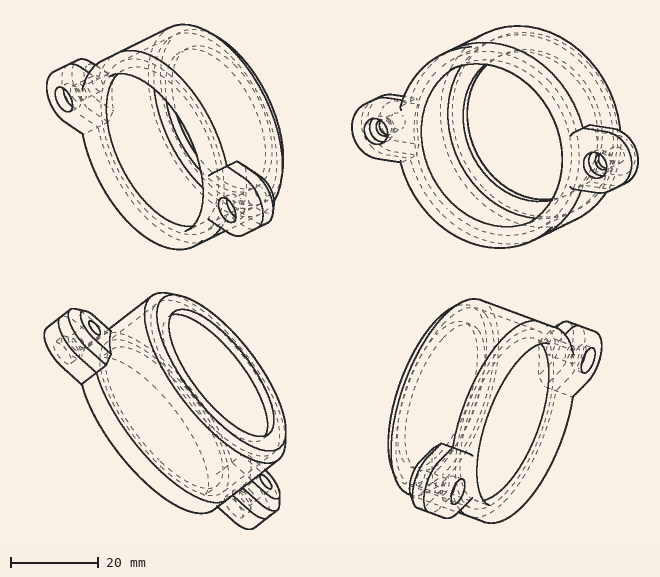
import cadquery as cq

overall_length = 70.7
overall_depth = 22.8
outer_diameter = 47.2
bore_diameter = 39.2
cavity_diameter = 43.2
opening_diameter = 35.2
floor_thickness = 2.0

ear_width = 13.4
ear_depth = 10.05
ear_radius = ear_width / 2
ear_center_x = overall_length / 2 - ear_radius
hole_diameter = 3.9
recess_diameter = 6.1
recess_depth = 2.5

bezel_depth = 5.0
edge_fillet = 1.0
rear_chamfer = 2.0


def cylinder(diameter, start_y, end_y, center_x=0):
    """Cylinder along Y between two depths."""
    return (
        cq.Workplane("XZ", origin=(center_x, start_y, 0))
        .circle(diameter / 2)
        .extrude(start_y - end_y)
    )


def ear_bar(start_y, end_y):
    """Round-ended bar that runs across the ring and forms both ears."""
    return (
        cq.Workplane("XZ", origin=(0, start_y, 0))
        .slot2D(overall_length, ear_width)
        .extrude(start_y - end_y)
    )


def screw_hole(center_x):
    """Screw head recess with a conical seat, narrowing to a straight hole that ends at the ear's rear face."""
    seat_end = recess_depth + (recess_diameter - hole_diameter) / 2
    seat = (
        cq.Workplane("XZ", origin=(center_x, recess_depth, 0))
        .circle(recess_diameter / 2)
        .workplane(offset=recess_depth - seat_end)
        .circle(hole_diameter / 2)
        .loft(ruled=True)
    )
    recess = cylinder(recess_diameter, 0, recess_depth, center_x)
    return cylinder(hole_diameter, 0, ear_depth, center_x).union(recess).union(seat)


def make_bezel():
    """Front ring with rounded front edges and countersunk screw recesses."""
    bezel = cylinder(outer_diameter, 0, bezel_depth).union(ear_bar(0, bezel_depth))
    bezel = bezel.cut(cylinder(bore_diameter, 0, bezel_depth))
    bezel = bezel.faces("<Y").edges().fillet(edge_fillet)
    for side in (-1, 1):
        bezel = bezel.cut(screw_hole(side * ear_center_x))
    return bezel


def make_housing():
    """Rear cup with an open floor, chamfered rear edges and the far end of the screw holes."""
    barrel = cylinder(outer_diameter, bezel_depth, overall_depth).faces(">Y").edges().chamfer(rear_chamfer)
    ears = ear_bar(bezel_depth, ear_depth).faces(">Y").edges().chamfer(rear_chamfer)
    housing = barrel.union(ears)
    housing = housing.cut(cylinder(cavity_diameter, bezel_depth, overall_depth - floor_thickness))
    housing = housing.cut(cylinder(opening_diameter, bezel_depth, overall_depth))
    for side in (-1, 1):
        housing = housing.cut(screw_hole(side * ear_center_x))
    return housing


bezel = make_bezel()
housing = make_housing()

result = cq.Compound.makeCompound([bezel.solids().val(), housing.solids().val()])